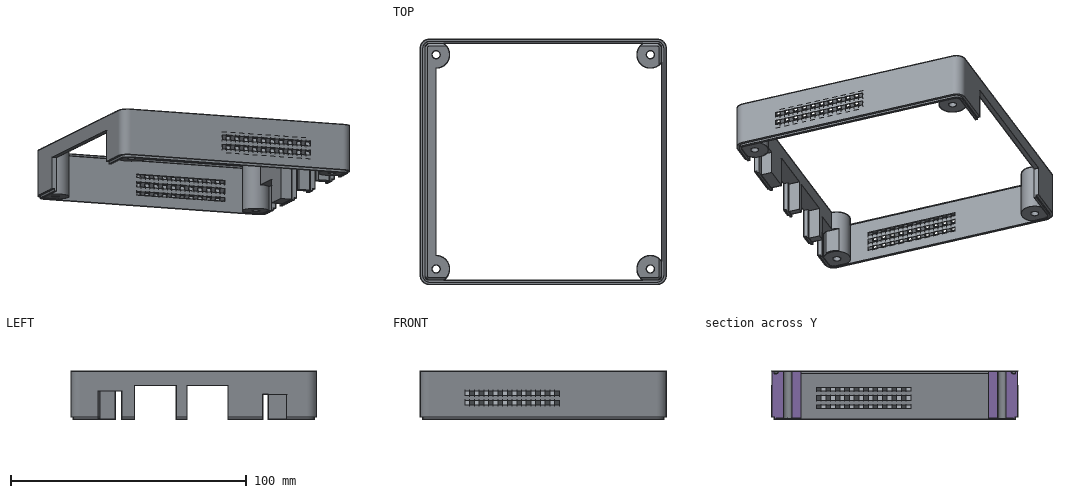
import cadquery as cq
LENGTH = 104.5
WIDTH = 104.2
HEIGHT = 20.5
CAVITY = 100.4
CORNER_RADIUS = 4.0

LIP_SIDE = 102.3
LIP_HEIGHT = 0.9
REBATE_SIDE = 102.3
REBATE_DEPTH = 1.0
REBATE_RADIUS = 3.1
SLOPE_FRACTION = 0.999

BOSS_SPACING = 90.9
BOSS_DIAMETER = 11.5
INNER_BOTTOM = 0.4
SCREW_HOLE_DIAMETER = 3.3

PORTS = [
    (30.6, 40.5, 8.5, 1.1),
    (7.5, 25.1, 6.2, 1.1),
    (-14.5, 2.8, 6.2, 1.1),
    (-39.4, -29.4, 9.8, 2.7),
]

WINDOW_Y_MIN = -31.5
WINDOW_Y_MAX = 33.2
WINDOW_TOP_DEPTH = 6.1

VENT_X_START = -33.2
VENT_LENGTH = 40.0
VENT_COLUMNS = 20
VENT_ROWS = 4
VENT_Z_START = 2.1
VENT_FIELD_BOTTOM = 4.6
VENT_FIELD_TOP = 13.6

CAVITY_HALF = CAVITY / 2
VENT_CELL = VENT_LENGTH / VENT_COLUMNS
VENT_ROW_PITCH = 2 * VENT_CELL
BOSS_OFFSET = BOSS_SPACING / 2
CAVITY_RADIUS = CORNER_RADIUS - (LENGTH - CAVITY) / 2
LIP_RADIUS = CORNER_RADIUS - (LENGTH - LIP_SIDE) / 2
LEDGE_Z = HEIGHT - REBATE_DEPTH


def rounded_block(length, width, radius, z_bottom, z_top):
    """Upright block with rounded corners, centred on the Z axis."""
    block = cq.Workplane("XY").workplane(offset=z_bottom).rect(length, width).extrude(z_top - z_bottom)
    return block.edges("|Z").fillet(radius)


def box_between(x_min, x_max, y_min, y_max, z_min, z_max):
    """Box given by its limits along each axis."""
    box = cq.Workplane("XY").box(x_max - x_min, y_max - y_min, z_max - z_min, centered=False)
    return box.translate((x_min, y_min, z_min))


def at_boss_centres(z):
    """Workplane at height z with a point at each boss centre."""
    plane = cq.Workplane("XY").workplane(offset=z)
    return plane.rect(BOSS_SPACING, BOSS_SPACING, forConstruction=True).vertices()


def make_walls():
    """Square ring of walls standing on a narrower lip."""
    body = rounded_block(LENGTH, WIDTH, CORNER_RADIUS, LIP_HEIGHT, HEIGHT)
    lip = rounded_block(LIP_SIDE, LIP_SIDE, LIP_RADIUS, 0, LIP_HEIGHT)
    cavity = rounded_block(CAVITY, CAVITY, CAVITY_RADIUS, 0, HEIGHT)
    return body.union(lip).cut(cavity)


def cut_wall_openings(frame):
    """Open the ports through the -X side and the window through the +X wall."""
    port_end = -BOSS_OFFSET + BOSS_DIAMETER / 2
    for y_min, y_max, top_depth, _ in PORTS:
        port_top = HEIGHT - top_depth
        frame = frame.cut(box_between(-LENGTH / 2, -CAVITY_HALF, y_min, y_max, 0, port_top))
        frame = frame.cut(box_between(-CAVITY_HALF, port_end, y_min, y_max, LIP_HEIGHT, port_top))
    window_top = HEIGHT - WINDOW_TOP_DEPTH
    return frame.cut(box_between(CAVITY_HALF, LENGTH / 2, WINDOW_Y_MIN, WINDOW_Y_MAX, 0, window_top))


def make_inner_rail():
    """Rail behind the -X wall, with a pocket around each port a little wider than the port."""
    rail = box_between(-CAVITY_HALF, -BOSS_OFFSET, -BOSS_OFFSET, BOSS_OFFSET, INNER_BOTTOM, HEIGHT)
    for y_min, y_max, top_depth, margin in PORTS:
        rail = rail.cut(box_between(
            -CAVITY_HALF, -BOSS_OFFSET, y_min - margin, y_max + margin, 0, HEIGHT - top_depth))
    return rail


def make_bosses():
    """Four round bosses trimmed by the cavity walls."""
    bosses = at_boss_centres(INNER_BOTTOM).circle(BOSS_DIAMETER / 2).extrude(HEIGHT - INNER_BOTTOM)
    return bosses.intersect(rounded_block(CAVITY, CAVITY, CAVITY_RADIUS, 0, HEIGHT))


def make_screw_holes():
    """Screw holes down through the bosses."""
    return at_boss_centres(0).circle(SCREW_HOLE_DIAMETER / 2).extrude(HEIGHT)


def make_rebate_cutter():
    """Ring cleared around the rim; its inner side slopes at 45 degrees up from the ledge."""
    ring = rounded_block(REBATE_SIDE, REBATE_SIDE, REBATE_RADIUS, LEDGE_Z, HEIGHT)
    footprint = rounded_block(CAVITY, CAVITY, CAVITY_RADIUS, LEDGE_Z, HEIGHT)
    plug = footprint.faces(">Z").chamfer(REBATE_DEPTH * SLOPE_FRACTION)
    return ring.cut(plug)


def make_vent_column(x_start, rise):
    """One column of square slots through the -Y wall, climbing by rise on the way in."""
    column = cq.Workplane("YZ", origin=(x_start, 0, 0))
    for row in range(VENT_ROWS):
        z_bottom = VENT_Z_START + row * VENT_ROW_PITCH
        z_top = z_bottom + VENT_CELL
        column = (
            column.moveTo(-WIDTH / 2, z_bottom)
            .lineTo(-CAVITY_HALF, z_bottom + rise)
            .lineTo(-CAVITY_HALF, z_top + rise)
            .lineTo(-WIDTH / 2, z_top)
            .close()
        )
    x_end = x_start + VENT_CELL
    field = box_between(x_start, x_end, -WIDTH / 2, -CAVITY_HALF, VENT_FIELD_BOTTOM, VENT_FIELD_TOP)
    return column.extrude(VENT_CELL).intersect(field)


def cut_vents(walls):
    """Cut matching vents through both Y walls, the columns sloping up and down in turn."""
    for index in range(VENT_COLUMNS):
        rise = VENT_CELL if index % 2 == 0 else -VENT_CELL
        column = make_vent_column(VENT_X_START + index * VENT_CELL, rise)
        walls = walls.cut(column).cut(column.mirror("XZ"))
    return walls


frame = cut_vents(make_walls())
frame = frame.union(make_inner_rail()).union(make_bosses())
frame = cut_wall_openings(frame)
frame = frame.cut(make_rebate_cutter())
result = frame.cut(make_screw_holes())